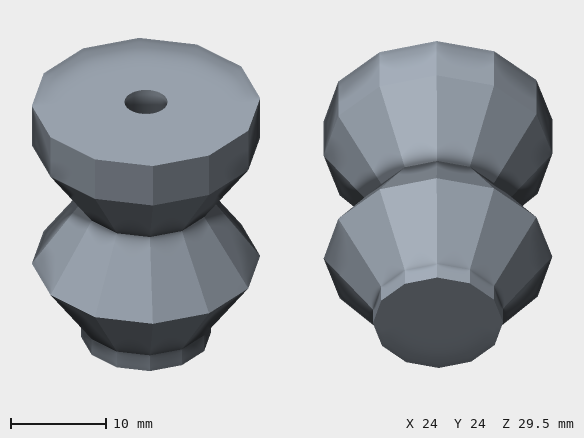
import cadquery as cq

SIDE_COUNT = 12
WIDE_DIAMETER = 24.0
NECK_DIAMETER = 13.66

FOOT_HEIGHT = 2.0
FLARE_HEIGHT = 7.5
HEAD_HEIGHT = 5.0
TOTAL_HEIGHT = FOOT_HEIGHT + 3 * FLARE_HEIGHT + HEAD_HEIGHT

HOLE_DIAMETER = 4.5
HOLE_DEPTH = 3.0


def section(base_z, height, base_diameter, top_diameter):
    """Twelve-sided prism or frustum standing at base_z, with a corner on +X."""
    return (
        cq.Workplane("XY")
        .workplane(offset=base_z)
        .polygon(SIDE_COUNT, base_diameter)
        .workplane(offset=height)
        .polygon(SIDE_COUNT, top_diameter)
        .loft(ruled=True, combine=True)
    )


def body():
    """Foot, three alternating flares and head, stacked along Z."""
    layers = [
        (FOOT_HEIGHT, NECK_DIAMETER, NECK_DIAMETER),
        (FLARE_HEIGHT, NECK_DIAMETER, WIDE_DIAMETER),
        (FLARE_HEIGHT, WIDE_DIAMETER, NECK_DIAMETER),
        (FLARE_HEIGHT, NECK_DIAMETER, WIDE_DIAMETER),
        (HEAD_HEIGHT, WIDE_DIAMETER, WIDE_DIAMETER),
    ]
    base_z = 0.0
    stack = cq.Workplane("XY")
    for height, base_diameter, top_diameter in layers:
        stack = stack.union(section(base_z, height, base_diameter, top_diameter))
        base_z += height
    return stack


def axial_hole():
    """Cylinder that cuts the blind hole down from the top face."""
    return (
        cq.Workplane("XY")
        .workplane(offset=TOTAL_HEIGHT - HOLE_DEPTH)
        .circle(HOLE_DIAMETER / 2)
        .extrude(HOLE_DEPTH)
    )


result = body().cut(axial_hole())